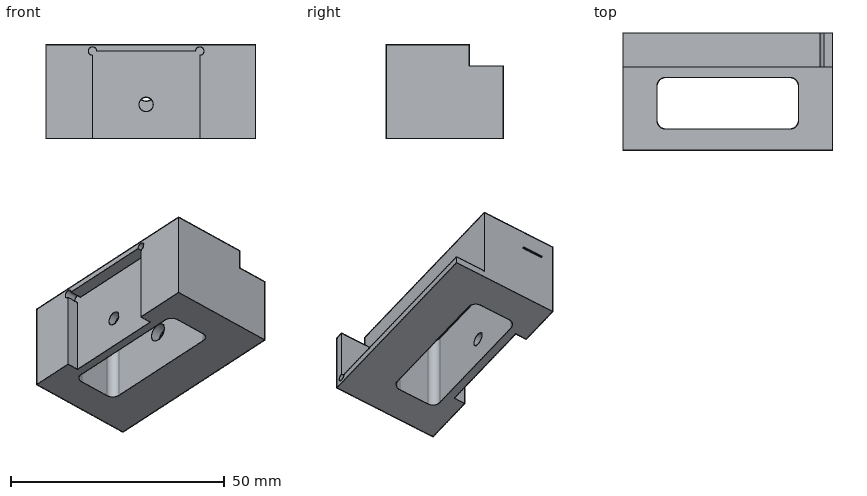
import cadquery as cq

length = 49.0
depth = 27.45
height = 22.0

block_depth = 19.5
ledge_thickness = 2.0
stop_thickness = 2.0
stop_height = 17.0
relief_radius = 1.0

window_end_wall = 8.0
window_front_wall = 5.0
window_back_wall = 2.5
window_corner_radius = 2.0

channel_width = 25.1
channel_height = 20.5
channel_depth = 3.0
channel_center_x = 23.4

front_hole_diameter = 3.35
front_hole_z = 8.0
back_hole_diameter = 4.4
back_hole_z = height / 2

mark_length = 5.2
mark_width = 0.3
mark_depth = 0.2
mark_center_y = 5.75
mark_center_z = 16.85


def box(x_start, y_start, z_start, x_size, y_size, z_size):
    """Box given by its lowest corner and its sizes."""
    corner = (x_start, y_start, z_start)
    return cq.Workplane("XY").box(x_size, y_size, z_size, centered=False).translate(corner)


def rod_along_y(x, z, radius, y_start, y_end):
    """Cylinder along Y between two positions."""
    plane = cq.Workplane("XZ", origin=(x, y_start, z))
    return plane.circle(radius).extrude(y_start - y_end)


def make_body():
    """Block, ledge and stop wall, with a round relief in the corner of ledge and stop."""
    stop_x = length - stop_thickness
    ledge_depth = depth - block_depth
    block = box(0, 0, 0, length, block_depth, height)
    ledge = box(0, block_depth, 0, length, ledge_depth, ledge_thickness)
    stop = box(stop_x, block_depth, 0, stop_thickness, ledge_depth, stop_height)
    relief = rod_along_y(stop_x, ledge_thickness, relief_radius, block_depth, depth)
    return block.union(ledge).union(stop).cut(relief)


def make_window():
    """Rounded rectangular opening along Z."""
    x_size = length - 2 * window_end_wall
    y_size = block_depth - window_front_wall - window_back_wall
    opening = box(window_end_wall, window_front_wall, 0, x_size, y_size, height)
    return opening.edges("|Z").fillet(window_corner_radius)


def make_channel():
    """Front channel with a round relief at each upper corner."""
    left_x = channel_center_x - channel_width / 2
    channel = box(left_x, 0, 0, channel_width, channel_depth, channel_height)
    for corner_x in (left_x, left_x + channel_width):
        channel = channel.union(rod_along_y(corner_x, channel_height, relief_radius, 0, channel_depth))
    return channel


def make_holes():
    """One hole through each long wall of the window."""
    middle_y = block_depth / 2
    front = rod_along_y(channel_center_x, front_hole_z, front_hole_diameter / 2, 0, middle_y)
    back = rod_along_y(channel_center_x, back_hole_z, back_hole_diameter / 2, middle_y, block_depth)
    return front.union(back)


def make_mark():
    """Horizontal line engraved in the left face."""
    y_start = mark_center_y - mark_length / 2
    z_start = mark_center_z - mark_width / 2
    return box(0, y_start, z_start, mark_depth, mark_length, mark_width)


result = make_body().cut(make_window()).cut(make_channel()).cut(make_holes()).cut(make_mark())